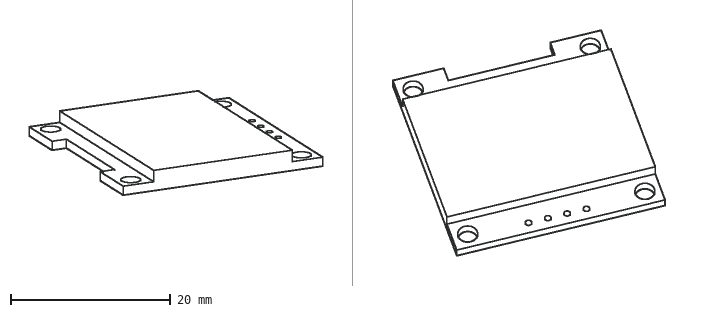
import cadquery as cq

board_width = 27.3
board_length = 27.8
board_thickness = 1.2

total_height = 2.7
panel_length = 19.3
panel_thickness = total_height - board_thickness

notch_width = 13.95
notch_depth = 2.0

mount_diameter = 2.5
mount_spacing_x = 23.2
mount_spacing_y = 23.75

pin_count = 4
pin_diameter = 0.8
pin_pitch = 2.53
pin_edge_distance = 1.5

front_y = -board_length / 2
pin_row_y = board_length / 2 - pin_edge_distance

board = cq.Workplane("XY").box(board_width, board_length, board_thickness, centered=(True, True, False))

notch = (
    cq.Workplane("XY")
    .center(0, front_y + notch_depth / 2)
    .rect(notch_width, notch_depth)
    .extrude(board_thickness)
)

mount_holes = (
    cq.Workplane("XY")
    .rect(mount_spacing_x, mount_spacing_y, forConstruction=True)
    .vertices()
    .circle(mount_diameter / 2)
    .extrude(board_thickness)
)

pin_holes = (
    cq.Workplane("XY")
    .center(0, pin_row_y)
    .rarray(pin_pitch, 0.28, pin_count, 1)
    .circle(pin_diameter / 2)
    .extrude(board_thickness)
)

panel = (
    cq.Workplane("XY")
    .workplane(offset=board_thickness)
    .rect(board_width, panel_length)
    .extrude(panel_thickness)
)

result = board.cut(notch).cut(mount_holes).cut(pin_holes).union(panel)